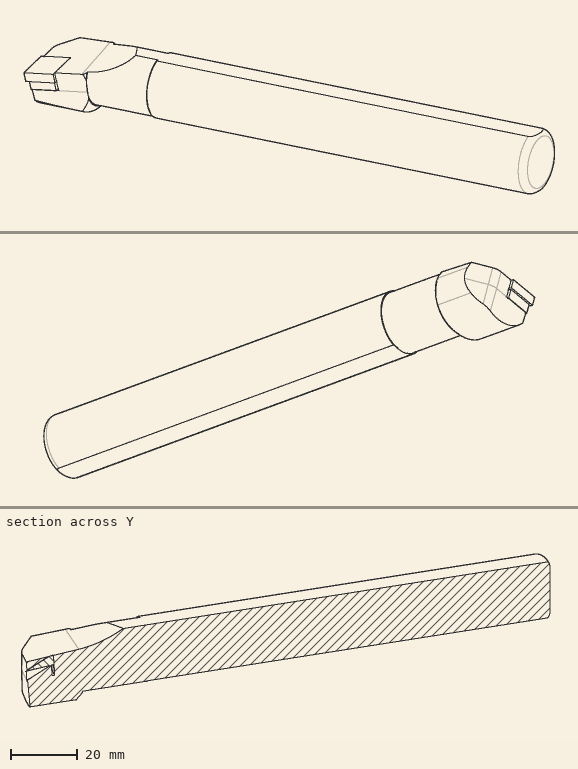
import cadquery as cq
import math

bar_length = 170.0
overall_width = 23.0
shank_radius = 10.0
shank_start = 40.5
flat_height = 9.2
end_fillet = 2.0
neck_radius = 9.7

head_radius = 11.7
head_offset_y = -1.9
head_length = 19.7

tip_y = shank_radius - overall_width
tip_z = 0.7
rake_slope_x = 0.087
rake_slope_y = 0.24
rake_length = 18.7
relief_radius = 35.7
relief_sweep = math.radians(45)

insert_edge = 9.7
insert_thickness = 3.0
edge_lean = math.radians(5)
seat_inset = 0.7
seat_depth = 6.3

face_inset = 0.8
face_corner_v = 15.8
bevel_angle = math.radians(45)
corner_radius = 4.2
lower_taper = 1.5
lower_depth = 18.7
reach = 51.0

rake_plane = cq.Plane(
    origin=(0, tip_y, tip_z),
    xDir=(1, 0, rake_slope_x),
    normal=(-rake_slope_x, -rake_slope_y, 1),
)


def seat_plane(depth):
    """Plane parallel to the rake face, the given depth below it."""
    return cq.Plane(rake_plane.toWorldCoords((0, 0, -depth)), rake_plane.xDir, rake_plane.zDir)


def rod(start, end, radius, centre_y=0.0):
    """Round bar along X."""
    return cq.Workplane("YZ", origin=(start, centre_y, 0)).circle(radius).extrude(end - start)


def inset_corner(inset):
    """Both coordinates of the tip corner once its two sides move inwards by the inset."""
    return inset / (math.cos(edge_lean) - math.sin(edge_lean))


def rhombus(plane, inset):
    """Insert outline, moved inwards on all sides by the inset."""
    corner = inset_corner(inset)
    edge = insert_edge - 2 * inset / math.cos(2 * edge_lean)
    along = edge * math.cos(edge_lean)
    across = edge * math.sin(edge_lean)
    points = [(0, 0), (along, across), (along + across, along + across), (across, along)]
    return cq.Workplane(plane).polyline([(u + corner, v + corner) for u, v in points]).close()


def make_shank():
    """Round shank with two flats and a rounded rear end."""
    shank = rod(shank_start, bar_length, shank_radius).faces(">X").edges().fillet(end_fillet)
    flats = cq.Workplane("XY").box(2 * bar_length, 2 * reach, 2 * flat_height)
    return shank.intersect(flats)


def make_neck():
    """Neck with a flat on the top only."""
    neck = rod(0, shank_start, neck_radius)
    below_flat = cq.Workplane("XY", origin=(0, 0, flat_height - reach)).rect(2 * reach, reach)
    return neck.intersect(below_flat.extrude(reach))


def make_head():
    """Shank-sized bar joined to an eccentric one, trimmed at the rear by a 45 degree cone."""
    cone_apex = head_length + shank_radius
    cone = (
        cq.Workplane("XZ")
        .polyline([(0, 0), (cone_apex, 0), (0, cone_apex)])
        .close()
        .revolve(360, (0, 0, 0), (1, 0, 0))
    )
    bar = rod(0, head_length, shank_radius)
    return rod(0, head_length, head_radius, head_offset_y).union(bar).intersect(cone)


def head_outline(plane):
    """End face, rounded corner, bevel and front face, closed far beyond the head."""
    corner = inset_corner(face_inset)
    slope = math.tan(edge_lean)
    face_corner_u = corner + (face_corner_v - corner) * slope
    turn = math.pi / 2 - edge_lean - bevel_angle
    trim = corner_radius * math.tan(turn / 2)
    corner_gap = corner_radius / math.cos(turn / 2) - corner_radius
    inward = (bevel_angle - edge_lean - math.pi / 2) / 2
    arc_start = (face_corner_u - trim * math.sin(edge_lean), face_corner_v - trim * math.cos(edge_lean))
    arc_middle = (
        face_corner_u + corner_gap * math.cos(inward),
        face_corner_v + corner_gap * math.sin(inward),
    )
    arc_end = (face_corner_u + trim * math.cos(bevel_angle), face_corner_v + trim * math.sin(bevel_angle))
    bevel_u = reach * math.cos(bevel_angle)
    bevel_v = reach * math.sin(bevel_angle)
    return (
        cq.Workplane(plane)
        .moveTo(corner, corner)
        .lineTo(*arc_start)
        .threePointArc(arc_middle, arc_end)
        .lineTo(face_corner_u + bevel_u, face_corner_v + bevel_v)
        .lineTo(reach, face_corner_v + bevel_v)
        .lineTo(reach, corner + (reach - corner) * slope)
        .close()
    )


def head_envelope():
    """Straight-sided upper band above a lower part that tapers inwards."""
    upper = head_outline(seat_plane(seat_depth)).extrude(seat_depth + reach)
    lower = head_outline(seat_plane(seat_depth)).extrude(-lower_depth, taper=lower_taper)
    return upper, lower


def rake_cut():
    """Space above the rake face, which sweeps up in an arc to the top flat."""
    profile_plane = cq.Plane(rake_plane.origin, rake_plane.xDir, -rake_plane.yDir)
    half = relief_sweep / 2
    middle = (rake_length + relief_radius * math.sin(half), relief_radius * (1 - math.cos(half)))
    end = (
        rake_length + relief_radius * math.sin(relief_sweep),
        relief_radius * (1 - math.cos(relief_sweep)),
    )
    return (
        cq.Workplane(profile_plane)
        .moveTo(-reach, 0)
        .lineTo(rake_length, 0)
        .threePointArc(middle, end)
        .lineTo(end[0], reach)
        .lineTo(-reach, reach)
        .close()
        .extrude(reach, both=True)
    )


def make_insert():
    """Rhombic cutting insert, flush with the rake face."""
    return rhombus(rake_plane, 0).extrude(-insert_thickness)


def make_holder():
    """Bar, neck and head in one piece, with the seat for the insert."""
    upper, lower = head_envelope()
    envelope = upper.union(lower)
    tail = cq.Workplane("XY").box(reach, 2 * reach, 2 * reach).translate((head_length + reach / 2, 0, 0))
    front = make_neck().union(make_head()).intersect(envelope.union(tail))
    holder = front.cut(rake_cut()).union(make_shank())
    pocket = rhombus(rake_plane, 0).extrude(-seat_depth)
    pedestal = rhombus(seat_plane(insert_thickness), seat_inset).extrude(insert_thickness - seat_depth)
    return holder.cut(pocket).union(pedestal)


holder = make_holder()
insert = make_insert()
result = cq.Compound.makeCompound([holder.val(), insert.val()])